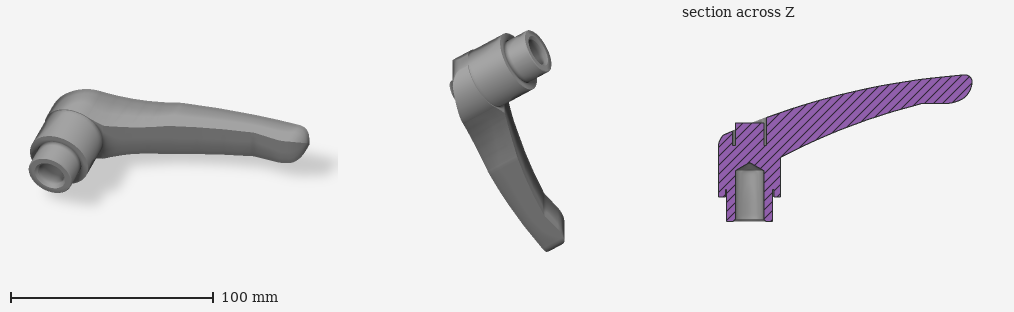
import cadquery as cq
import math

sleeve_bottom = 0
collar_bottom = 12.0
collar_top = 31.7
pin_top = 48.9
lever_top = 72.6

collar_radius = 31.0 / 2
head_radius = 32.0 / 2
flat_x = -collar_radius

sleeve_radius = 23.0 / 2
sleeve_clearance_radius = 23.7 / 2
sleeve_clearance_depth = 3.8
sleeve_chamfer = 0.4
bore_radius = 13.8 / 2
bore_mouth_radius = 16.3 / 2
bore_depth = 25.1
bore_tip_height = bore_radius * math.tan(math.radians(30))

pin_radius = 14.3 / 2
recess_radius = 16.5 / 2
recess_floor = 37.6

arm_start_x = 7.3
arm_start_half_width = math.sqrt(head_radius**2 - arm_start_x**2)
waist_end_x = 43.1
waist_end_half_width = 9.7
taper_start_x = 45.6
taper_start_half_width = 9.8
tip_x = 125.4 - collar_radius
tip_radius = 7.5
tip_start_x = tip_x - tip_radius


def disc(radius, low, high):
    """Cylinder on the hub axis between two heights."""
    plane = cq.Workplane("XZ", origin=(0, low, 0))
    return plane.circle(radius).extrude(low - high)


def side_profile():
    """Curved lever outline in XY, extruded across the full hub width."""
    tip_top_x = 106.0
    outline = (
        cq.Workplane("XY", origin=(0, 0, -head_radius))
        .moveTo(flat_x, collar_top)
        .lineTo(flat_x, 36.9)
        .threePointArc((-14.7, 40.4), (-12.8, 42.9))
        .threePointArc((45.6, 63.0), (tip_start_x, 72.2))
        .lineTo(tip_top_x, lever_top)
        .threePointArc((108.7, 71.6), (tip_x, 69.2))
        .threePointArc((107.2, 62.3), (103.0, 59.5))
        .lineTo(101.8, 59.1)
        .threePointArc((99.5, 58.4), (96.9, 58.2))
        .lineTo(85.9, 58.2)
        .threePointArc((84.5, 58.0), (83.3, 57.7))
        .threePointArc((53.2, 48.4), (19.7, 33.9))
        .lineTo(19.2, 33.6)
        .lineTo(collar_radius, collar_top)
        .close()
    )
    return outline.extrude(2 * head_radius)


def plan_outline():
    """Lever outline in XZ: round head, narrow waist, tapered grip, round tip."""
    outline = (
        cq.Workplane("XZ", origin=(0, collar_top, 0))
        .moveTo(arm_start_x, arm_start_half_width)
        .threePointArc((20.1, 10.4), (waist_end_x, waist_end_half_width))
        .threePointArc((44.4, 9.8), (taper_start_x, taper_start_half_width))
        .lineTo(tip_start_x, tip_radius)
        .threePointArc((tip_x, 0), (tip_start_x, -tip_radius))
        .lineTo(taper_start_x, -taper_start_half_width)
        .threePointArc((44.4, -9.8), (waist_end_x, -waist_end_half_width))
        .threePointArc((20.1, -10.4), (arm_start_x, -arm_start_half_width))
        .threePointArc((-head_radius, 0), (arm_start_x, arm_start_half_width))
        .close()
    )
    return outline.extrude(collar_top - lever_top)


def bore():
    """Blind bore with a countersunk mouth and a conical end."""
    mouth_depth = bore_mouth_radius - bore_radius
    outline = (
        cq.Workplane("XY")
        .moveTo(0, sleeve_bottom)
        .lineTo(bore_mouth_radius, sleeve_bottom)
        .lineTo(bore_radius, sleeve_bottom + mouth_depth)
        .lineTo(bore_radius, bore_depth)
        .lineTo(0, bore_depth + bore_tip_height)
        .close()
    )
    return outline.revolve(360, (0, 0), (0, 1))


lever = side_profile().intersect(plan_outline())
lever = lever.cut(disc(recess_radius, recess_floor, lever_top))

collar = disc(collar_radius, collar_bottom, collar_top)
clearance_top = collar_bottom + sleeve_clearance_depth
collar = collar.cut(disc(sleeve_clearance_radius, collar_bottom, clearance_top))

sleeve = disc(sleeve_radius, sleeve_bottom, collar_top).faces("<Y").chamfer(sleeve_chamfer)
pin = disc(pin_radius, collar_top, pin_top)

result = lever.union(collar).union(sleeve).union(pin).cut(bore())